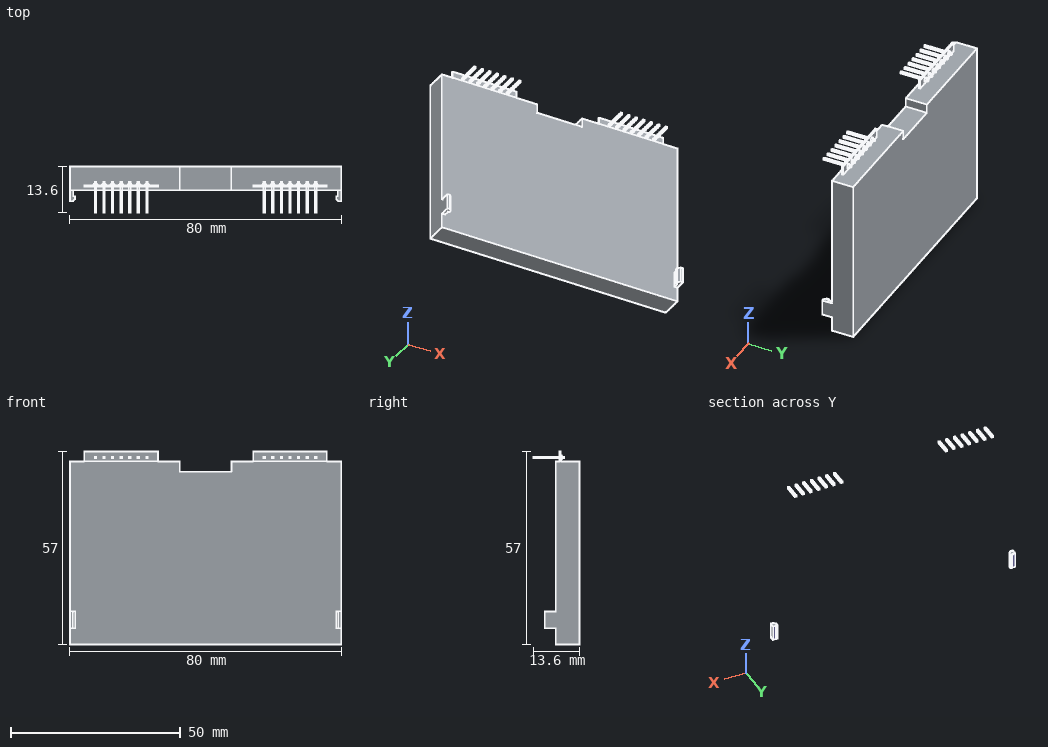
import cadquery as cq

body_width = 80.0
body_depth = 7.0
body_height = 54.0

notch_width = 15.2
notch_depth = 3.0

board_width = 21.8
board_height = 3.0
board_thickness = 0.5
board_setback = 1.0
board_side_gap = 4.2

pins_per_board = 7
pin_row_length = 15.2
pin_size = 0.5
pin_front = 6.6
pin_tail = 1.0
pin_rise = 1.2
solder_radius = 0.7
solder_height = 0.5

clip_bottom = 4.8
clip_height = 5.0
clip_reach = 3.3
clip_thickness = 1.0
hook_width = 0.5
hook_length = 1.6
hook_chamfer = 0.7

overlap = 0.2


def block(x, y, z, width, depth, height):
    """Box with its lowest corner at (x, y, z)."""
    return cq.Workplane("XY").box(width, depth, height, centered=False).translate((x, y, z))


def make_body():
    notch = block(
        (body_width - notch_width) / 2, 0, body_height - notch_depth,
        notch_width, body_depth, notch_depth,
    )
    return block(0, 0, 0, body_width, body_depth, body_height).cut(notch)


def make_pin(x):
    """One pin with its solder cone, centred on x."""
    board_back = board_setback + board_thickness
    pin_z = body_height + pin_rise
    pin = block(
        x - pin_size / 2, -pin_front, pin_z - pin_size / 2,
        pin_size, pin_front + board_back + pin_tail, pin_size,
    )
    solder = cq.Solid.makeCone(
        solder_radius, pin_size / 2, solder_height,
        pnt=cq.Vector(x, board_back, pin_z), dir=cq.Vector(0, 1, 0),
    )
    return pin.union(cq.Workplane(obj=solder))


def make_pin_board(left):
    """Upright board with its row of pins; left is its lowest X."""
    assembly = block(
        left, board_setback, body_height - overlap,
        board_width, board_thickness, board_height + overlap,
    )
    first_pin = left + (board_width - pin_row_length) / 2
    pitch = pin_row_length / (pins_per_board - 1)
    for i in range(pins_per_board):
        assembly = assembly.union(make_pin(first_pin + i * pitch))
    return assembly


def make_clip(outer, inward):
    """Hooked arm; outer is its outside X and inward is +1 or -1 toward the slab centre."""
    arm = outer + inward * clip_thickness
    hook = arm + inward * hook_width
    profile = [
        (outer, overlap),
        (outer, -clip_reach),
        (hook - inward * hook_chamfer, -clip_reach),
        (hook, hook_chamfer - clip_reach),
        (hook, hook_length - clip_reach),
        (arm, hook_length - clip_reach),
        (arm, overlap),
    ]
    return (
        cq.Workplane("XY", origin=(0, 0, clip_bottom))
        .polyline(profile).close()
        .extrude(clip_height)
    )


result = make_body()
for left in (board_side_gap, body_width - board_side_gap - board_width):
    result = result.union(make_pin_board(left))
result = result.union(make_clip(0, 1))
result = result.union(make_clip(body_width, -1))